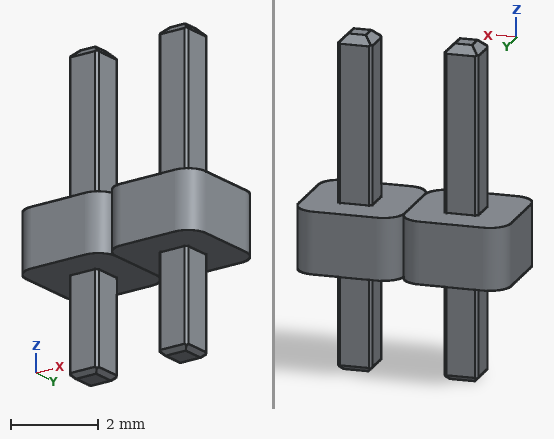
import cadquery as cq

row_length = 5.08
pin_count = 2
pitch = row_length / pin_count
block_side = pitch
block_height = 1.5
block_top = 4.0
block_corner_radius = 0.5

pin_length = 8.0
pin_side = 0.82
pin_offset = 0.03
edge_chamfer = 0.06
tip_chamfer = 0.2
foot_chamfer = 0.12


def make_square_bar():
    """Plain upright square bar standing on Z = 0."""
    return cq.Workplane("XY").box(pin_side, pin_side, pin_length, centered=(True, True, False))


def make_pin(block_x):
    """Slightly off-centre square pin with a mitred tip and foot, and bevelled long edges."""
    pointed_bar = make_square_bar().faces(">Z").chamfer(tip_chamfer).faces("<Z").chamfer(foot_chamfer)
    bevelled_bar = make_square_bar().edges("|Z").chamfer(edge_chamfer)
    return pointed_bar.intersect(bevelled_bar).translate((block_x + pin_offset, pin_offset, 0))


def make_block(x):
    """Housing block with rounded upright corners and a square hole fitting its pin."""
    block = (
        cq.Workplane("XY")
        .box(block_side, block_side, block_height, centered=(True, True, False))
        .edges("|Z").fillet(block_corner_radius)
        .translate((x, 0, block_top - block_height))
    )
    return block.cut(make_pin(x))


positions = [(i - (pin_count - 1) / 2) * pitch for i in range(pin_count)]
blocks = [make_block(x) for x in positions]
pins = [make_pin(x) for x in positions]

result = cq.Compound.makeCompound([body.val() for body in blocks + pins])